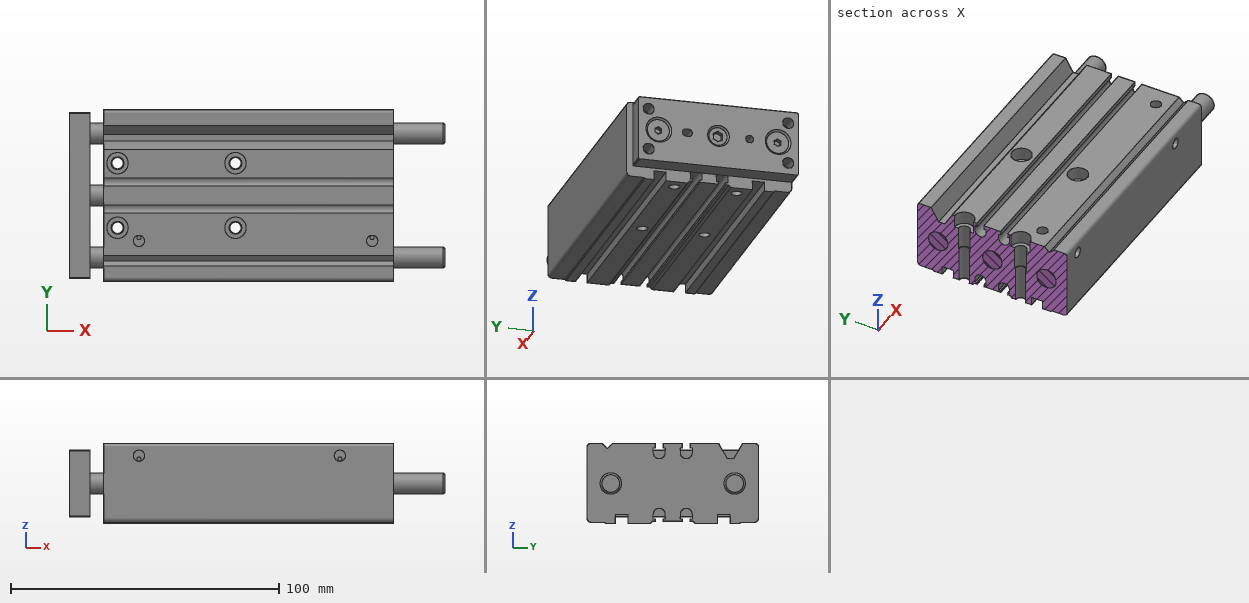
import cadquery as cq
import math


overall_length = 140.0
housing_width = 64.0
housing_height = 30.0
housing_length = 108.1
housing_start = 12.7
housing_top = housing_height / 2
housing_bottom = -housing_height / 2
housing_side = housing_width / 2

top_corner_radius = 1.4
bottom_corner_radius = 1.7
bottom_edge_step = 0.4
bottom_centre_step = 0.8
pad_outer_y = 24.9
pad_inner_y = 8.4

wide_groove_y = 21.5
wide_groove_width = 9.0
wide_groove_floor = 2.5
wide_groove_angle = 60.0
vee_groove_y = -24.4
vee_groove_depth = 2.0
sensor_slot_y = 5.0
sensor_slot_neck = 3.0
sensor_slot_width = 4.5
sensor_shoulder_z = 13.2
sensor_centre_z = 11.5
bottom_slot_y = 19.0
bottom_slot_width = 4.6
bottom_slot_depth = 3.5

mount_first_x = 17.9
mount_pitch_x = 44.0
mount_y = 12.0
mount_counterbore_diameter = 8.0
mount_counterbore_depth = 5.3
mount_upper_diameter = 4.8
mount_lower_diameter = 4.2

port_diameter = 4.2
port_depth = 5.6
port_duct_diameter = 1.5
port_duct_depth = 8.4
port_duct_offset = 1.3
port_first_x = 25.9
top_port_last_x = 112.8
top_port_y = -17.0
side_port_last_x = 100.8
side_port_z = 10.4

plate_thickness = 7.7
plate_width = 62.0
plate_height = 24.9
plate_edge_chamfer = 0.4
rod_diameter = 8.0
rod_y = 23.1
rod_end_chamfer = 0.7
piston_rod_reach = 28.0
plate_hole_diameter = 4.2
plate_hole_y = 27.0
plate_hole_z = 8.0
pin_hole_diameter = 3.0
pin_hole_y = 12.0
pin_slot_length = 3.8
recess_depth = 0.7
rod_recess_diameter = 10.0
rod_socket_flats = 2.5
piston_recess_diameter = 8.4
piston_socket_flats = 3.6
socket_depth = 2.1


def along_x(diameter, start, length, y=0.0, z=0.0):
    """Cylinder parallel to X."""
    return cq.Workplane("YZ", origin=(start, y, z)).circle(diameter / 2).extrude(length)


def housing_prism(outline):
    """Extrude a closed (y, z) outline over the housing's length."""
    return cq.Workplane("YZ", origin=(housing_start, 0, 0)).polyline(outline).close().extrude(housing_length)


def housing_blank():
    edge_z = housing_bottom + bottom_edge_step
    centre_z = housing_bottom + bottom_centre_step
    blank = (
        cq.Workplane("XY")
        .box(housing_length, housing_width, housing_top - edge_z, centered=(False, True, False))
        .translate((housing_start, 0, edge_z))
    )
    blank = blank.edges("|X and >Z").fillet(top_corner_radius)
    blank = blank.edges("|X and <Z").fillet(bottom_corner_radius)
    pads = housing_prism([
        (-pad_outer_y - bottom_edge_step, edge_z),
        (-pad_outer_y, housing_bottom),
        (pad_outer_y, housing_bottom),
        (pad_outer_y + bottom_edge_step, edge_z),
    ])
    centre_relief = housing_prism([
        (-pad_inner_y, housing_bottom),
        (-pad_inner_y + bottom_centre_step, centre_z),
        (pad_inner_y - bottom_centre_step, centre_z),
        (pad_inner_y, housing_bottom),
    ])
    return blank.union(pads).cut(centre_relief)


def wide_groove():
    half_top = wide_groove_width / 2
    half_floor = wide_groove_floor / 2
    floor_z = housing_top - (half_top - half_floor) * math.tan(math.radians(wide_groove_angle))
    return housing_prism([
        (wide_groove_y - half_top, housing_top),
        (wide_groove_y - half_floor, floor_z),
        (wide_groove_y + half_floor, floor_z),
        (wide_groove_y + half_top, housing_top),
    ])


def vee_groove():
    return housing_prism([
        (vee_groove_y - vee_groove_depth, housing_top),
        (vee_groove_y, housing_top - vee_groove_depth),
        (vee_groove_y + vee_groove_depth, housing_top),
    ])


def sensor_slot(y):
    """Top slot: a narrow neck over a wider, round-bottomed channel."""
    radius = sensor_slot_width / 2
    half_neck = sensor_slot_neck / 2
    return (
        cq.Workplane("YZ", origin=(housing_start, y, 0))
        .moveTo(-half_neck, housing_top)
        .lineTo(-half_neck, sensor_shoulder_z)
        .lineTo(-radius, sensor_shoulder_z)
        .lineTo(-radius, sensor_centre_z)
        .threePointArc((0, sensor_centre_z - radius), (radius, sensor_centre_z))
        .lineTo(radius, sensor_shoulder_z)
        .lineTo(half_neck, sensor_shoulder_z)
        .lineTo(half_neck, housing_top)
        .close()
        .extrude(housing_length)
    )


def bottom_slot(y):
    half = bottom_slot_width / 2
    roof_z = housing_bottom + bottom_slot_depth
    return housing_prism([
        (y - half, housing_bottom),
        (y - half, roof_z),
        (y + half, roof_z),
        (y + half, housing_bottom),
    ])


def mounting_hole(x, y):
    """Counterbored through hole whose lower half is narrower."""
    top = cq.Workplane("XY", origin=(x, y, housing_top))
    counterbore = top.circle(mount_counterbore_diameter / 2).extrude(-mount_counterbore_depth)
    upper = top.circle(mount_upper_diameter / 2).extrude(-housing_height / 2)
    lower = top.circle(mount_lower_diameter / 2).extrude(-housing_height)
    return counterbore.union(upper).union(lower)


def top_port(x):
    port = cq.Workplane("XY", origin=(x, top_port_y, housing_top))
    duct = port.center(0, port_duct_offset).circle(port_duct_diameter / 2).extrude(-port_duct_depth)
    return port.circle(port_diameter / 2).extrude(-port_depth).union(duct)


def side_port(x):
    port = cq.Workplane("XZ", origin=(x, -housing_side, side_port_z))
    duct = port.center(0, -port_duct_offset).circle(port_duct_diameter / 2).extrude(-port_duct_depth)
    return port.circle(port_diameter / 2).extrude(-port_depth).union(duct)


def make_housing():
    housing = housing_blank().cut(wide_groove()).cut(vee_groove())
    for side in (-1, 1):
        slot = sensor_slot(side * sensor_slot_y)
        housing = housing.cut(slot)
        housing = housing.cut(slot.mirror("XY"))
        housing = housing.cut(bottom_slot(side * bottom_slot_y))
        housing = housing.cut(along_x(rod_diameter, housing_start, housing_length, side * rod_y))
        for x in (mount_first_x, mount_first_x + mount_pitch_x):
            housing = housing.cut(mounting_hole(x, side * mount_y))
    housing = housing.cut(along_x(rod_diameter, housing_start, piston_rod_reach))
    for x in (port_first_x, top_port_last_x):
        housing = housing.cut(top_port(x))
    for x in (port_first_x, side_port_last_x):
        housing = housing.cut(side_port(x))
    return housing


def screw_recess(y, diameter, socket_flats):
    """Shallow recess with a 45 degree wall around a hexagon socket."""
    socket_corners = socket_flats / math.cos(math.pi / 6)
    face = cq.Workplane("YZ", origin=(0, y, 0))
    dish = face.circle(diameter / 2).extrude(recess_depth, taper=45)
    socket = face.transformed(rotate=(0, 0, 90)).polygon(6, socket_corners).extrude(recess_depth + socket_depth)
    return dish.union(socket)


def pin_slot():
    return (
        cq.Workplane("YZ", origin=(0, pin_hole_y, 0))
        .slot2D(pin_slot_length, pin_hole_diameter)
        .extrude(plate_thickness)
    )


def make_carriage():
    carriage = (
        cq.Workplane("XY")
        .box(plate_thickness, plate_width, plate_height, centered=(False, True, True))
        .edges("|X")
        .chamfer(plate_edge_chamfer)
    )
    for side in (-1, 1):
        rod = along_x(rod_diameter, plate_thickness, overall_length - plate_thickness, side * rod_y)
        carriage = carriage.union(rod.faces(">X").chamfer(rod_end_chamfer))
        carriage = carriage.cut(screw_recess(side * rod_y, rod_recess_diameter, rod_socket_flats))
        for z in (-plate_hole_z, plate_hole_z):
            carriage = carriage.cut(along_x(plate_hole_diameter, 0, plate_thickness, side * plate_hole_y, z))
    carriage = carriage.cut(along_x(pin_hole_diameter, 0, plate_thickness, -pin_hole_y))
    carriage = carriage.cut(pin_slot())
    piston_rod_length = housing_start + piston_rod_reach - plate_thickness
    carriage = carriage.union(along_x(rod_diameter, plate_thickness, piston_rod_length))
    return carriage.cut(screw_recess(0, piston_recess_diameter, piston_socket_flats))


housing = make_housing()
carriage = make_carriage()

result = cq.Compound.makeCompound([housing.val(), carriage.val()])